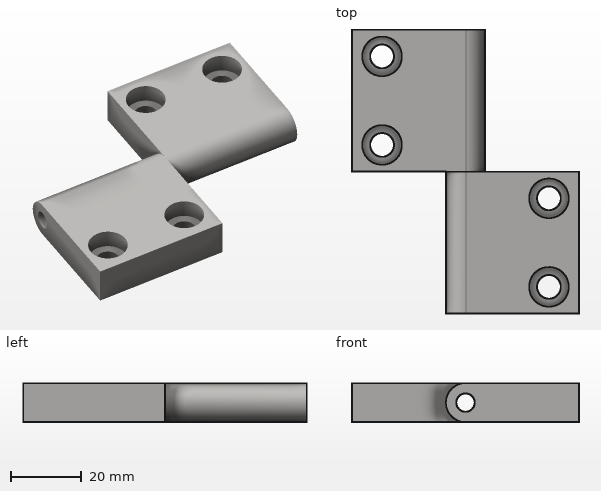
import cadquery as cq

leaf_reach = 32.0
leaf_length = 40.0
thickness = 11.0
knuckle_radius = thickness / 2
pin_hole_diameter = 5.1

screw_hole_diameter = 6.6
counterbore_diameter = 11.2
counterbore_depth = 5.5
screw_axis_offset = 23.5
screw_end_margin = 7.5


def make_leaf():
    """Leaf on the +X, -Y side of the origin, with a round knuckle around the hinge axis."""
    leaf = (
        cq.Workplane("XZ")
        .moveTo(0, knuckle_radius)
        .lineTo(leaf_reach, knuckle_radius)
        .lineTo(leaf_reach, -knuckle_radius)
        .lineTo(0, -knuckle_radius)
        .threePointArc((-knuckle_radius, 0), (0, knuckle_radius))
        .close()
        .extrude(leaf_length)
    )
    pin_hole = cq.Workplane("XZ").circle(pin_hole_diameter / 2).extrude(leaf_length)
    screw_positions = [
        (screw_axis_offset, -screw_end_margin),
        (screw_axis_offset, screw_end_margin - leaf_length),
    ]
    return (
        leaf.cut(pin_hole)
        .copyWorkplane(cq.Workplane("XY", origin=(0, 0, knuckle_radius)))
        .pushPoints(screw_positions)
        .cboreHole(screw_hole_diameter, counterbore_diameter, counterbore_depth)
    )


leaves = []
for turn in (0, 180):
    leaf = make_leaf().rotate((0, 0, 0), (0, 0, 1), turn)
    leaves.append(leaf.val())

result = cq.Compound.makeCompound(leaves)